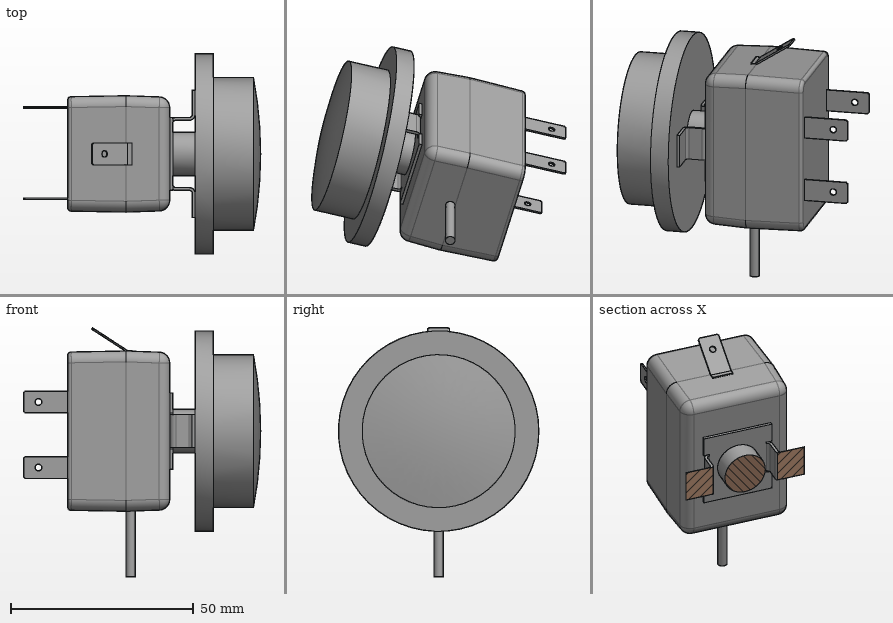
import cadquery as cq
import math


housing_width = 32.0
housing_height = 44.0
rear_length = 16.0
front_length = 12.0
rear_draft = 1.0
front_draft = 2.0
corner_radius = 3.0
rear_edge_radius = 1.0

terminal_thickness = 0.5
terminal_width = 6.0
terminal_length = 12.0
terminal_corner = 0.4
hole_diameter = 1.8
hole_from_tip = 4.0
terminal_places = [(12.7, 8.0), (12.7, -10.0), (-12.3, 8.0)]

blade_length = 11.4
blade_angle = 33
foot_length = 1.2
bend_x = 0.4
foot_rise = 0.15

cable_diameter = 2.6
cable_length = 18.0

sheet = 0.8
plate_width = 20.0
plate_height = 21.0
leg_width = 9.0
clip_depth = 7.0
foot_span = 35.0
inner_bend = sheet
outer_bend = inner_bend + sheet
relief_gap = 0.4

stem_diameter = 12.0
flange_diameter = 55.0
flange_thickness = 5.0
button_diameter = 41.95
button_length = 11.0
dome_height = 2.0

rear_x = -rear_length
front_x = front_length
flange_x = front_x + clip_depth
top_z = housing_height / 2


def make_housing():
    """Two tapered blocks joined at their wide ends, with all outer edges rounded."""

    def tapered_block(length, draft):
        return (
            cq.Workplane("YZ")
            .rect(housing_width, housing_height)
            .extrude(length, taper=draft)
        )

    front = tapered_block(front_length, front_draft)
    front = front.edges("not(<X)").fillet(corner_radius)
    rear = tapered_block(rear_length, rear_draft).mirror("YZ")
    rear = rear.edges("not(<X or >X)").fillet(corner_radius)
    rear = rear.faces("<X").edges().fillet(rear_edge_radius)
    return front.union(rear)


def make_blade(length):
    """Flat blade from X = 0 to its tip at -X, in the XZ plane, centred on Y = 0, with a hole near the tip."""
    blade = (
        cq.Workplane("XY")
        .box(length, terminal_thickness, terminal_width)
        .translate((-length / 2, 0, 0))
        .edges("<X and |Y")
        .chamfer(terminal_corner)
    )
    hole = (
        cq.Workplane("XZ")
        .center(hole_from_tip - length, 0)
        .circle(hole_diameter / 2)
        .extrude(terminal_thickness, both=True)
    )
    return blade.cut(hole)


def make_rear_terminal(y, z):
    return make_blade(terminal_length).translate((rear_x, y, z))


def make_top_terminal():
    """Sloping blade on a short horizontal foot that is let into the housing top."""
    foot_top = top_z + foot_rise
    blade = (
        make_blade(blade_length)
        .rotate((0, 0, 0), (1, 0, 0), 90)
        .translate((0, 0, -terminal_thickness / 2))
        .rotate((0, 0, 0), (0, 1, 0), blade_angle)
        .translate((0, 0, foot_top))
    )
    lower_bend_x = -terminal_thickness * math.sin(math.radians(blade_angle))
    lower_bend_z = foot_top - terminal_thickness * math.cos(math.radians(blade_angle))
    foot = (
        cq.Workplane("XZ")
        .moveTo(0, foot_top)
        .lineTo(foot_length, foot_top)
        .lineTo(foot_length, foot_top - terminal_thickness)
        .lineTo(0, foot_top - terminal_thickness)
        .lineTo(lower_bend_x, lower_bend_z)
        .close()
        .extrude(terminal_width / 2, both=True)
    )
    return blade.union(foot).translate((bend_x, 0, 0))


def make_cable(housing):
    """Round cable just in front of the widest plane, trimmed to the housing underside."""
    cable = (
        cq.Workplane("XY")
        .workplane(offset=-top_z - cable_length)
        .center(cable_diameter / 2, 0)
        .circle(cable_diameter / 2)
        .extrude(cable_length + corner_radius)
    )
    return cable.cut(housing)


def make_clip():
    """Flat plate with two bent legs whose feet lie against the flange."""
    edge_y = plate_width / 2
    root_y = edge_y - outer_bend
    inner_y = edge_y - sheet
    plate = (
        cq.Workplane("YZ", origin=(front_x, 0, 0))
        .rect(plate_width, plate_height)
        .extrude(sheet)
    )
    notch = (
        cq.Workplane("XY")
        .box(sheet, outer_bend, leg_width + 2 * relief_gap)
        .translate((front_x + sheet / 2, edge_y - outer_bend / 2, 0))
    )
    leg = (
        cq.Workplane("XY", origin=(0, 0, -leg_width / 2))
        .moveTo(front_x + sheet, root_y)
        .lineTo(front_x, root_y)
        .radiusArc((front_x + outer_bend, edge_y), outer_bend)
        .lineTo(flange_x - outer_bend, edge_y)
        .radiusArc((flange_x - sheet, edge_y + inner_bend), -inner_bend)
        .lineTo(flange_x - sheet, foot_span / 2)
        .lineTo(flange_x, foot_span / 2)
        .lineTo(flange_x, edge_y + inner_bend)
        .radiusArc((flange_x - outer_bend, inner_y), outer_bend)
        .lineTo(front_x + outer_bend, inner_y)
        .radiusArc((front_x + sheet, root_y), -inner_bend)
        .close()
        .extrude(leg_width)
    )
    clip = plate.cut(notch).cut(notch.mirror("XZ"))
    return clip.union(leg).union(leg.mirror("XZ"))


def make_knob():
    """Stem, flange, button and shallow dome turned about the X axis."""
    stem_x = front_x + sheet
    button_x = flange_x + flange_thickness
    dome_x = button_x + button_length
    tip_x = dome_x + dome_height
    button_radius = button_diameter / 2
    dome_radius = (button_radius**2 + dome_height**2) / (2 * dome_height)
    return (
        cq.Workplane("XY")
        .moveTo(stem_x, 0)
        .lineTo(stem_x, stem_diameter / 2)
        .lineTo(flange_x, stem_diameter / 2)
        .lineTo(flange_x, flange_diameter / 2)
        .lineTo(button_x, flange_diameter / 2)
        .lineTo(button_x, button_radius)
        .lineTo(dome_x, button_radius)
        .radiusArc((tip_x, 0), dome_radius)
        .close()
        .revolve(360, (0, 0, 0), (1, 0, 0))
    )


top_terminal = make_top_terminal()
solid_housing = make_housing()
cable = make_cable(solid_housing)
housing = solid_housing.cut(top_terminal)
rear_terminals = [make_rear_terminal(y, z) for y, z in terminal_places]
clip = make_clip()
knob = make_knob()

result = cq.Compound.makeCompound([
    housing.val(),
    *[terminal.val() for terminal in rear_terminals],
    top_terminal.val(),
    cable.val(),
    clip.val(),
    knob.val(),
])